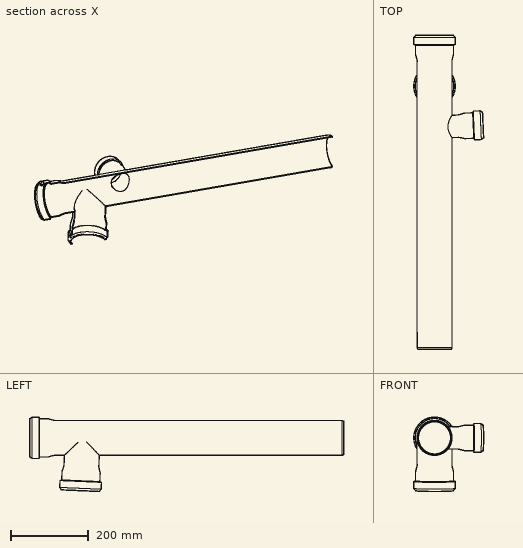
import cadquery as cq

RUN_LENGTH = 806.0
SPIGOT_CHAMFER_LENGTH = 5.0
SPIGOT_CHAMFER_DEPTH = 2.0

LARGE_PIPE = {
    "pipe_bore": 82.0,
    "pipe_outer": 90.0,
    "socket_bore": 90.5,
    "socket_outer": 98.5,
    "groove_bore": 99.5,
    "collar_outer": 107.1,
}
SMALL_PIPE = {
    "pipe_bore": 50.0,
    "pipe_outer": 58.0,
    "socket_bore": 58.1,
    "socket_outer": 66.1,
    "groove_bore": 66.8,
    "collar_outer": 74.4,
}

LIP_SLOPE_START = 1.0
COLLAR_FRONT = 6.5
COLLAR_BACK = 24.0
COLLAR_SLOPE_END = 26.0
SOCKET_DEPTH = 48.0
TAPER_END = 64.0

BRANCH_LEAN = 2.5
LARGE_BRANCH_LENGTH = 136.0
SMALL_BRANCH_LENGTH = 125.13
LARGE_BRANCH_FROM_MOUTH = 136.0
SMALL_BRANCH_FROM_MOUTH = 236.0


def revolved(points):
    """Solid of revolution about Z from (radius, height) points."""
    axis_start = (0, 0, 0)
    axis_end = (0, 1, 0)
    profile = cq.Workplane("XZ").polyline(points).close()
    return profile.revolve(360, axis_start, axis_end)


def socketed_body(length, pipe_diameter, socket_diameter, collar_diameter):
    """Solid pipe rising from the origin along Z, widened into a socket whose mouth is at `length`."""
    pipe = pipe_diameter / 2
    socket = socket_diameter / 2
    collar = collar_diameter / 2
    return revolved([
        (0, 0),
        (pipe, 0),
        (pipe, length - TAPER_END),
        (socket, length - SOCKET_DEPTH),
        (socket, length - COLLAR_SLOPE_END),
        (collar, length - COLLAR_BACK),
        (collar, length - COLLAR_FRONT),
        (socket, length - LIP_SLOPE_START),
        (socket, length),
        (0, length),
    ])


def socketed_outside(size, length):
    return socketed_body(length, size["pipe_outer"], size["socket_outer"], size["collar_outer"])


def socketed_bore(size, length):
    return socketed_body(length, size["pipe_bore"], size["socket_bore"], size["groove_bore"])


def along_run(body):
    """Turn a body from the Z axis onto the run, with its mouth at Y = 0."""
    turned = body.rotate((0, 0, 0), (1, 0, 0), -90)
    return turned.translate((0, -RUN_LENGTH, 0))


def along_large_branch(body):
    """Turn a body from the Z axis to point down, leaning towards the run socket."""
    turned = body.rotate((0, 0, 0), (1, 0, 0), 180 + BRANCH_LEAN)
    return turned.translate((0, -LARGE_BRANCH_FROM_MOUTH, 0))


def along_small_branch(body):
    """Turn a body from the Z axis to point to +X, leaning towards the run socket."""
    turned = body.rotate((0, 0, 0), (0, 1, 0), 90).rotate((0, 0, 0), (0, 0, 1), BRANCH_LEAN)
    return turned.translate((0, -SMALL_BRANCH_FROM_MOUTH, 0))


def spigot_chamfer():
    """Ring removed from the outside of the spigot end, about Z with the end at the origin."""
    radius = LARGE_PIPE["pipe_outer"] / 2
    return revolved([
        (radius - SPIGOT_CHAMFER_DEPTH, 0),
        (radius, 0),
        (radius, SPIGOT_CHAMFER_LENGTH),
    ])


outside = along_run(socketed_outside(LARGE_PIPE, RUN_LENGTH).cut(spigot_chamfer()))
outside = outside.union(along_large_branch(socketed_outside(LARGE_PIPE, LARGE_BRANCH_LENGTH)))
outside = outside.union(along_small_branch(socketed_outside(SMALL_PIPE, SMALL_BRANCH_LENGTH)))

result = outside.cut(along_run(socketed_bore(LARGE_PIPE, RUN_LENGTH)))
result = result.cut(along_large_branch(socketed_bore(LARGE_PIPE, LARGE_BRANCH_LENGTH)))
result = result.cut(along_small_branch(socketed_bore(SMALL_PIPE, SMALL_BRANCH_LENGTH)))